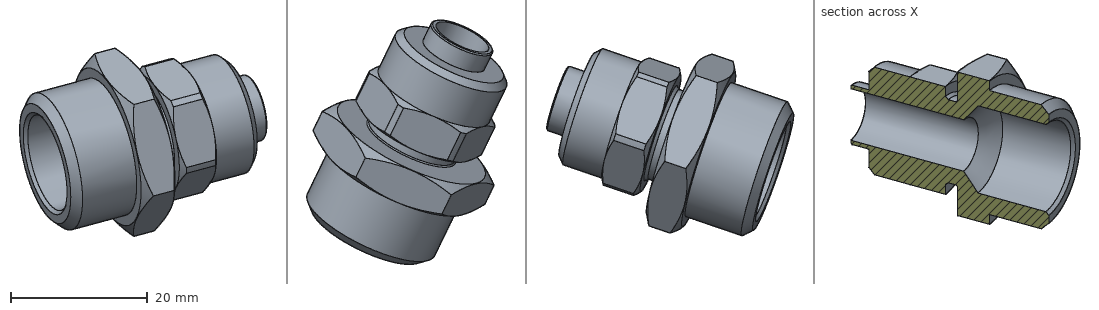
import cadquery as cq
import math

total_length = 33.5
stub_chamfer_end = 1.3
stub_end = 10.0
body_hex_end = 15.5
neck_end = 17.0
nut_start = 17.5
nut_hex_end = 23.5
nut_chamfer_start = 29.5
nut_end = 30.5

stub_radius = 10.4
stub_chamfer = 1.3
neck_radius = 6.97
neck_base_taper = 0.2
neck_flare_radius = 7.37
nut_radius = 9.0
nut_end_radius = 8.0
tube_radius = 5.0
tube_chamfer = 0.2

body_across_flats = 24.0
body_face_radius = 11.93
nut_across_flats = 2 * nut_radius
nut_corner_radius = 10.12
crown_angle = 30.0

socket_radius = 7.25
socket_chamfer = 0.5
socket_depth = 12.0
seat_depth = 14.4
hole_radius = 4.25


def revolve_profile(points):
    """Revolve (radius, y) points, closed along the axis, about the Y axis."""
    outline = [(0, points[0][1])] + points + [(0, points[-1][1])]
    return cq.Workplane("XY").polyline(outline).close().revolve(360, (0, 0, 0), (0, 1, 0))


def crowned_hexagon(across_flats, start, end, face_radius, corner_radius):
    """Hexagon along Y with corners on X, turned conically at both ends."""
    across_corners = across_flats / math.cos(math.pi / 6)
    prism = (
        cq.Workplane("XZ", origin=(0, start, 0))
        .polygon(6, across_corners)
        .extrude(start - end)
    )
    crown_depth = (corner_radius - face_radius) * math.tan(math.radians(crown_angle))
    envelope = revolve_profile([
        (face_radius, start),
        (corner_radius, start + crown_depth),
        (corner_radius, end - crown_depth),
        (face_radius, end),
    ])
    return prism.intersect(envelope)


turned_body = revolve_profile([
    (stub_radius - stub_chamfer, 0),
    (stub_radius, stub_chamfer_end),
    (stub_radius, stub_end),
    (neck_radius + neck_base_taper, stub_end),
    (neck_radius + neck_base_taper, body_hex_end),
    (neck_radius, body_hex_end + neck_base_taper),
    (neck_radius, neck_end),
    (neck_flare_radius, nut_start),
    (nut_radius, nut_start),
    (nut_radius, nut_chamfer_start),
    (nut_end_radius, nut_end),
    (tube_radius, nut_end),
    (tube_radius, total_length - tube_chamfer),
    (tube_radius - tube_chamfer, total_length),
])

body_corner_radius = body_across_flats / math.sqrt(3)
body_hex = crowned_hexagon(
    body_across_flats, stub_end, body_hex_end, body_face_radius, body_corner_radius
)
nut_hex = crowned_hexagon(
    nut_across_flats, nut_start, nut_hex_end, nut_radius, nut_corner_radius
)

bore = revolve_profile([
    (socket_radius + socket_chamfer, 0),
    (socket_radius, socket_chamfer),
    (socket_radius, socket_depth),
    (hole_radius, seat_depth),
    (hole_radius, total_length),
])

result = turned_body.union(body_hex).union(nut_hex).cut(bore)